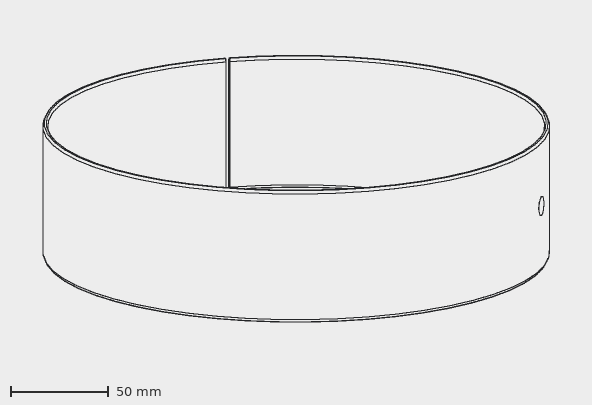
import cadquery as cq
outer_diameter = 260.0
height = 70.0
wall = 2.5
bevel_height = 1.5
bevel_depth = 0.8
slit_width = 2.0
hole_diameter = 10.0
hole_angle = 59.0

outer_radius = outer_diameter / 2
inner_radius = outer_radius - wall


def bevelled_ring():
    """Thin band with steep bevels on all four rim edges, revolved from its wall section."""
    section = [
        (inner_radius, bevel_height),
        (inner_radius + bevel_depth, 0),
        (outer_radius - bevel_depth, 0),
        (outer_radius, bevel_height),
        (outer_radius, height - bevel_height),
        (outer_radius - bevel_depth, height),
        (inner_radius + bevel_depth, height),
        (inner_radius, height - bevel_height),
    ]
    return cq.Workplane("XZ").polyline(section).close().revolve(360, (0, 0, 0), (0, 1, 0))


def slit_cutter():
    """Full-height slit through the -X wall, with one face on the XZ plane."""
    return cq.Workplane("XY").box(
        outer_diameter, slit_width, height, centered=(True, False, False)
    ).translate((-outer_radius, 0, 0))


def hole_cutter():
    """Radial drill through one side of the band at mid height."""
    drill = cq.Workplane("YZ").center(0, height / 2).circle(hole_diameter / 2).extrude(outer_diameter)
    return drill.rotate((0, 0, 0), (0, 0, 1), hole_angle)


result = bevelled_ring().cut(slit_cutter()).cut(hole_cutter())